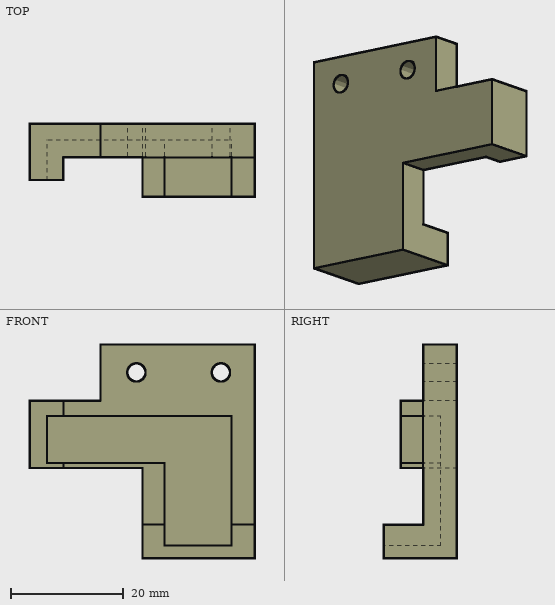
import cadquery as cq

width = 40.0
height = 38.0
plate_thickness = 6.0

head_left = 12.55
head_height = 10.0
arm_height = 12.0
leg_left = 20.0
arm_top = height - head_height
arm_bottom = arm_top - arm_height

lip_width = 6.0
arm_lip_depth = 10.0
leg_lip_depth = 13.0
back = leg_lip_depth

pocket_depth = 3.1
pocket_left = 3.1
pocket_right = width - 4.15
pocket_top = height - 12.75
pocket_arm_bottom = arm_bottom + 0.9
pocket_leg_left = leg_left + 3.9
pocket_bottom = 2.25
pocket_floor = back - plate_thickness + pocket_depth

hole_diameter = 3.2
hole_spacing = 15.0
first_hole_x = 18.95
hole_z = height - 5.0


def block(left, right, bottom, top, front, rear):
    """Box spanning the given limits along X, Z and Y."""
    size = (right - left, rear - front, top - bottom)
    return cq.Workplane("XY").box(*size, centered=False).translate((left, front, bottom))


def make_body():
    front = back - plate_thickness
    head = block(head_left, width, arm_top, height, front, back)
    arm = block(0, width, arm_bottom, arm_top, front, back)
    leg = block(leg_left, width, 0, arm_bottom, front, back)
    arm_lip = block(0, lip_width, arm_bottom, arm_top, back - arm_lip_depth, back)
    leg_lip = block(leg_left, width, 0, lip_width, 0, back)
    return head.union(arm).union(leg).union(arm_lip).union(leg_lip).clean()


def make_pocket():
    arm = block(pocket_left, pocket_right, pocket_arm_bottom, pocket_top, 0, pocket_floor)
    leg = block(pocket_leg_left, pocket_right, pocket_bottom, pocket_top, 0, pocket_floor)
    return arm.union(leg)


def make_holes():
    centers = [(first_hole_x + i * hole_spacing, hole_z) for i in range(2)]
    return cq.Workplane("XZ").pushPoints(centers).circle(hole_diameter / 2).extrude(-back)


result = make_body().cut(make_pocket()).cut(make_holes())